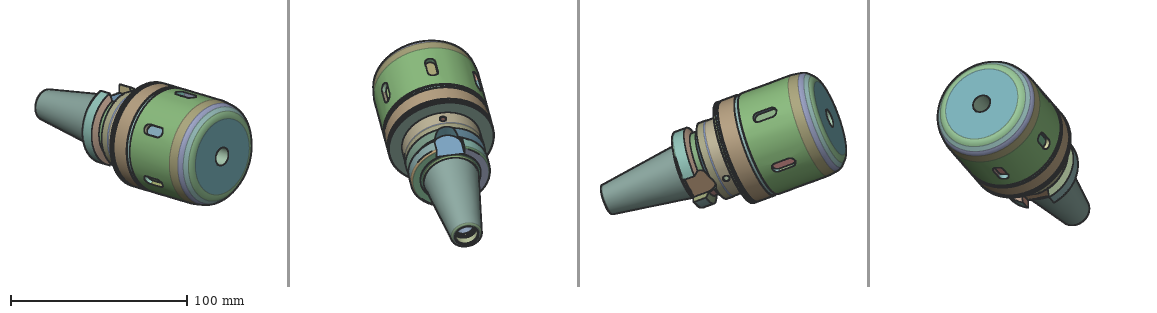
import cadquery as cq
import math

total_length = 138.4

taper_length = 48.5
taper_slope = 7 / 48
taper_end_radius = 15.9
tip_radius = taper_end_radius - taper_slope * taper_length
tip_rounding_length = 1.0
tip_face_radius = 7.8
neck_radius = 15.4
neck_start = 49.1
neck_fillet = 0.8
recess_radius = 17.5
recess_depth = 0.3

flange_start = 50.2
flange_radius = 23.0
flange_rounding = 1.1
groove_floor_radius = 19.0
front_lip_end = 58.1
groove_floor_start = 60.0
groove_floor_end = 63.5
rear_lip_start = 66.0
rear_lip_end = 70.2
shank_start = 71.0
shank_radius = 45.5 / 2

nut_start = 79.5
nut_radius = 61.0 / 2
nut_edge_chamfer = 0.4
rim_end = 81.0
rim_groove_end = 82.6
rim_groove_radius = 29.9
collar_end = 92.6
seal_groove_end = 94.7
seal_groove_radius = 60.0 / 2
sleeve_start = seal_groove_end + nut_radius - seal_groove_radius

nose_start = 126.0
nose_cone_end = 131.8
nose_cone_angle = math.radians(8)
nose_bevel_start = 134.7
nose_bevel_end = 136.7
nose_bevel_angle = math.radians(45)

drive_slot_width = 16.0
drive_slot_floor = 16.3
drive_slot_end = 67.3

wrench_slot_count = 6
wrench_slot_length = 14.1
wrench_slot_width = 6.0
wrench_slot_center = 109.9
wrench_slot_depth = 2.9

cross_hole_center = 74.3
cross_hole_radius = 3.5 / 2
cross_hole_mouth_radius = 4.0 / 2

bore_radius = 10.5 / 2
bore_steps = [
    (12.9 / 2, 5.3),
    (12.5 / 2, 6.5),
    (12.0 / 2, 8.0),
    (11.2 / 2, 23.5),
    (bore_radius, total_length),
]
mouth_radius = 6.9
mouth_depth = 0.7


def nose_points():
    """Corners of the nose: each arc leaves at one angle and arrives at the next."""
    cone_r = nut_radius - (nose_cone_end - nose_start) * math.tan(nose_cone_angle)
    first_chord = (nose_cone_angle + nose_bevel_angle) / 2
    bevel_r = cone_r - (nose_bevel_start - nose_cone_end) * math.tan(first_chord)
    bevel_end_r = bevel_r - (nose_bevel_end - nose_bevel_start) * math.tan(nose_bevel_angle)
    last_chord = (nose_bevel_angle + math.pi / 2) / 2
    face_r = bevel_end_r - (total_length - nose_bevel_end) * math.tan(last_chord)
    return cone_r, bevel_r, bevel_end_r, face_r


def turned_body():
    cone_r, bevel_r, bevel_end_r, face_r = nose_points()
    arc_inset = 1 - math.sqrt(0.5)
    rounding_mid = flange_rounding * arc_inset
    neck_fillet_mid = neck_fillet * arc_inset
    recess_floor = flange_start + recess_depth
    tip_rounding_end_radius = tip_radius + taper_slope * tip_rounding_length
    tip_rounding_height = tip_rounding_end_radius - tip_face_radius
    tip_rounding_mid = (
        tip_rounding_length * arc_inset,
        tip_rounding_end_radius - tip_rounding_height * arc_inset,
    )
    profile = (
        cq.Workplane("XY")
        .moveTo(0, 0)
        .lineTo(0, tip_face_radius)
        .threePointArc(tip_rounding_mid, (tip_rounding_length, tip_rounding_end_radius))
        .lineTo(taper_length, taper_end_radius)
        .lineTo(neck_start, neck_radius)
        .lineTo(recess_floor - neck_fillet, neck_radius)
        .threePointArc(
            (recess_floor - neck_fillet_mid, neck_radius + neck_fillet_mid),
            (recess_floor, neck_radius + neck_fillet),
        )
        .lineTo(recess_floor, recess_radius)
        .lineTo(flange_start, recess_radius)
        .lineTo(flange_start, flange_radius - flange_rounding)
        .threePointArc(
            (flange_start + rounding_mid, flange_radius - rounding_mid),
            (flange_start + flange_rounding, flange_radius),
        )
        .lineTo(front_lip_end, flange_radius)
        .lineTo(groove_floor_start, groove_floor_radius)
        .lineTo(groove_floor_end, groove_floor_radius)
        .lineTo(rear_lip_start, flange_radius)
        .lineTo(rear_lip_end, flange_radius)
        .lineTo(shank_start, shank_radius)
        .lineTo(nut_start, shank_radius)
        .lineTo(nut_start, nut_radius - nut_edge_chamfer)
        .lineTo(nut_start + nut_edge_chamfer, nut_radius)
        .lineTo(rim_end, nut_radius)
        .lineTo(rim_end, rim_groove_radius)
        .lineTo(rim_groove_end - nut_radius + rim_groove_radius, rim_groove_radius)
        .lineTo(rim_groove_end, nut_radius)
        .lineTo(collar_end, nut_radius)
        .lineTo(collar_end, seal_groove_radius)
        .lineTo(seal_groove_end, seal_groove_radius)
        .lineTo(sleeve_start, nut_radius)
        .lineTo(nose_start, nut_radius)
        .lineTo(nose_cone_end, cone_r)
        .tangentArcPoint((nose_bevel_start, bevel_r), relative=False)
        .lineTo(nose_bevel_end, bevel_end_r)
        .tangentArcPoint((total_length, face_r), relative=False)
        .lineTo(total_length, 0)
        .close()
    )
    return profile.revolve(360, (0, 0, 0), (1, 0, 0))


def axial_bore():
    """Stepped bore right through the part, behind a conical mouth at the small end."""
    profile = cq.Workplane("XY").moveTo(0, 0).lineTo(0, mouth_radius)
    step_start = mouth_depth
    for step_radius, step_end in bore_steps:
        profile = profile.lineTo(step_start, step_radius).lineTo(step_end, step_radius)
        step_start = step_end
    return profile.lineTo(total_length, 0).close().revolve(360, (0, 0, 0), (1, 0, 0))


def drive_slot():
    """Flat-floored slot on the +Z side, open toward the taper, with a round end."""
    half_width = drive_slot_width / 2
    straight_end = drive_slot_end - half_width
    return (
        cq.Workplane("XY", origin=(0, 0, drive_slot_floor))
        .moveTo(taper_length, -half_width)
        .lineTo(straight_end, -half_width)
        .threePointArc((drive_slot_end, 0), (straight_end, half_width))
        .lineTo(taper_length, half_width)
        .close()
        .extrude(flange_radius)
    )


def wrench_slot():
    return (
        cq.Workplane("XY", origin=(wrench_slot_center, 0, nut_radius - wrench_slot_depth))
        .slot2D(wrench_slot_length, wrench_slot_width)
        .extrude(2 * wrench_slot_depth)
    )


def cross_hole():
    """Hole through the shank along Z, with a small countersink at both mouths."""
    bevel = cross_hole_mouth_radius - cross_hole_radius
    half_hole = (
        cq.Workplane("XZ", origin=(cross_hole_center, 0, 0))
        .moveTo(0, 0)
        .lineTo(cross_hole_radius, 0)
        .lineTo(cross_hole_radius, shank_radius - bevel)
        .lineTo(cross_hole_mouth_radius, shank_radius)
        .lineTo(0, shank_radius)
        .close()
        .revolve(360, (0, 0, 0), (0, 1, 0))
    )
    return half_hole.union(half_hole.mirror("XY"))


result = turned_body().cut(axial_bore()).cut(cross_hole())

for angle in (0, 180):
    result = result.cut(drive_slot().rotate((0, 0, 0), (1, 0, 0), angle))

for index in range(wrench_slot_count):
    angle = index * 360 / wrench_slot_count
    result = result.cut(wrench_slot().rotate((0, 0, 0), (1, 0, 0), angle))